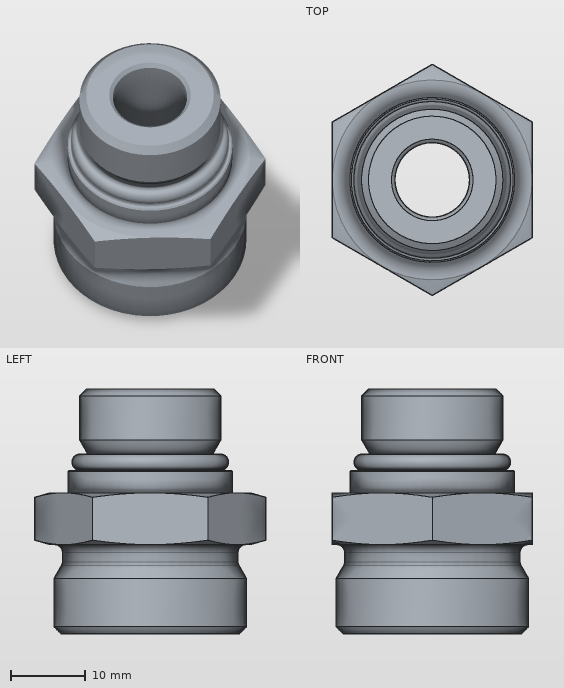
import cadquery as cq
import math

total_height = 33.0
hex_bottom = 12.0
hex_top = 19.0
collar_top = 22.05
upper_thread_bottom = 26.15
lower_thread_top = 7.42

bore_diameter = 10.0
bore_mouth_diameter = 11.0
upper_thread_diameter = 19.05
seal_groove_diameter = 16.75
collar_diameter = 22.2
relief_diameter = 23.7
lower_thread_diameter = 26.0

hex_across_flats = 27.0
hex_chamfer_circle = 26.93
hex_chamfer_angle = 16.0

upper_chamfer = 0.92
lower_chamfer = 1.0
collar_chamfer = 0.2
relief_fillet = 1.02
runout_angle = 30.0

ring_section_diameter = 2.18


def runout_height(large_diameter, small_diameter):
    """Axial length of a run-out cone between two diameters."""
    radial_step = (large_diameter - small_diameter) / 2
    return radial_step / math.tan(math.radians(runout_angle))


def turned_section(points):
    """Revolve a closed (radius, z) outline around the Z axis."""
    return cq.Workplane("XZ").polyline(points).close().revolve(360, (0, 0), (0, 1))


def make_upper_stud():
    """Chamfered thread, run-out cone, seal groove and collar above the hexagon."""
    thread_radius = upper_thread_diameter / 2
    groove_radius = seal_groove_diameter / 2
    collar_radius = collar_diameter / 2
    cone_bottom = upper_thread_bottom - runout_height(upper_thread_diameter, seal_groove_diameter)
    return turned_section([
        (0, hex_top),
        (collar_radius, hex_top),
        (collar_radius, collar_top - collar_chamfer),
        (collar_radius - collar_chamfer, collar_top),
        (groove_radius, collar_top),
        (groove_radius, cone_bottom),
        (thread_radius, upper_thread_bottom),
        (thread_radius, total_height - upper_chamfer),
        (thread_radius - upper_chamfer, total_height),
        (0, total_height),
    ])


def make_lower_stud():
    """Chamfered thread and filleted relief below the hexagon."""
    thread_radius = lower_thread_diameter / 2
    relief_radius = relief_diameter / 2
    cone_top = lower_thread_top + runout_height(lower_thread_diameter, relief_diameter)

    slope = math.radians(runout_angle)
    tangent_length = relief_fillet * math.tan(slope / 2)
    corner_end_radius = relief_radius + tangent_length * math.sin(slope)
    corner_end_height = cone_top - tangent_length * math.cos(slope)

    outline = (
        cq.Workplane("XZ")
        .moveTo(0, 0)
        .lineTo(thread_radius - lower_chamfer, 0)
        .lineTo(thread_radius, lower_chamfer)
        .lineTo(thread_radius, lower_thread_top)
        .lineTo(corner_end_radius, corner_end_height)
        .tangentArcPoint((relief_radius, cone_top + tangent_length), relative=False)
        .lineTo(relief_radius, hex_bottom - relief_fillet)
        .radiusArc((relief_radius + relief_fillet, hex_bottom), relief_fillet)
        .lineTo(0, hex_bottom)
        .close()
    )
    return outline.revolve(360, (0, 0), (0, 1))


def make_hexagon():
    """Hexagon with corners toward +Y and -Y, both ends turned to a shallow cone."""
    corner_radius = hex_across_flats / math.sqrt(3)
    circle_radius = hex_chamfer_circle / 2
    corner_drop = (corner_radius - circle_radius) * math.tan(math.radians(hex_chamfer_angle))
    prism = (
        cq.Workplane("XY", origin=(0, 0, hex_bottom))
        .polygon(6, 2 * corner_radius)
        .extrude(hex_top - hex_bottom)
        .rotate((0, 0, 0), (0, 0, 1), 30)
    )
    envelope = turned_section([
        (0, hex_bottom),
        (circle_radius, hex_bottom),
        (corner_radius, hex_bottom + corner_drop),
        (corner_radius, hex_top - corner_drop),
        (circle_radius, hex_top),
        (0, hex_top),
    ])
    return prism.intersect(envelope)


def make_bore():
    """Through bore with a 45 degree chamfer at its upper mouth."""
    bore_radius = bore_diameter / 2
    mouth_radius = bore_mouth_diameter / 2
    mouth_depth = mouth_radius - bore_radius
    return turned_section([
        (0, 0),
        (bore_radius, 0),
        (bore_radius, total_height - mouth_depth),
        (mouth_radius, total_height),
        (0, total_height),
    ])


def make_fitting():
    """Threaded fitting body."""
    return make_lower_stud().union(make_hexagon()).union(make_upper_stud()).cut(make_bore())


def make_o_ring():
    """Seal ring seated on the groove floor and the collar."""
    section_radius = ring_section_diameter / 2
    center_radius = seal_groove_diameter / 2 + section_radius
    return (
        cq.Workplane("XZ")
        .center(center_radius, collar_top + section_radius)
        .circle(section_radius)
        .revolve(360, (-center_radius, 0), (-center_radius, 1))
    )


fitting = make_fitting()
o_ring = make_o_ring()

result = cq.Compound.makeCompound([fitting.val(), o_ring.val()])